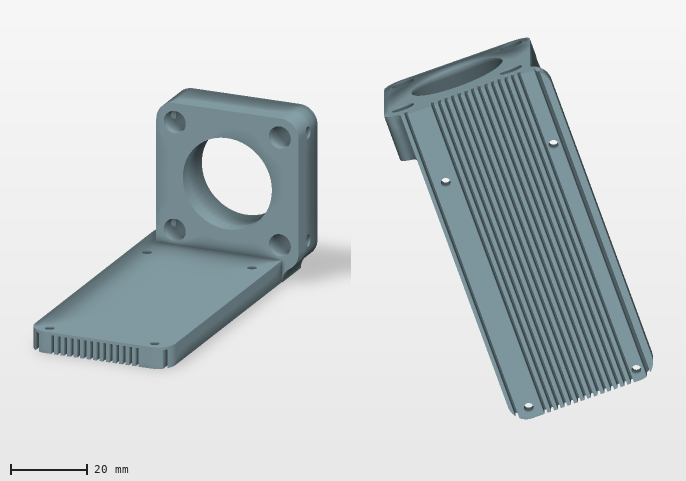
import cadquery as cq
import math

plate_length = 87.7
plate_width = 40.1
plate_bottom = 0.2
plate_thickness = 6.0
plate_top = plate_bottom + plate_thickness

corner_radius = 5.0

plate_hole_diameter = 2.5
plate_hole_pitch_x = 30.0
plate_hole_pitch_y = 64.1
plate_hole_end_distance = 3.0

slot_width = 0.85
slot_roof = 0.8
first_slot_x = 7.2
last_slot_x = 38.7
slot_step_count = 17
slot_pitch = (last_slot_x - first_slot_x) / slot_step_count
grouped_slot_count = 14
wide_slot_width = 1.2
wide_slot_x = 2.45

bracket_right = 44.8
bracket_width = 40.6
bracket_left = bracket_right - bracket_width
bracket_top = 45.6
bracket_depth = 12.5
bore_diameter = 25.4
mount_hole_diameter = 6.2
mount_hole_pitch = 30.0
cross_hole_diameter = 3.3
bore_x = (bracket_left + bracket_right) / 2
bore_z = bracket_top - bracket_width / 2


def make_plate():
    """Rounded rectangular plate."""
    return (
        cq.Workplane("XY", origin=(plate_width / 2, plate_length / 2, plate_bottom))
        .rect(plate_width, plate_length)
        .extrude(plate_thickness)
        .edges("|Z")
        .fillet(corner_radius)
    )


def make_bracket():
    """Upright block whose right side sweeps back to the plate edge in an S curve."""
    convex_x = bracket_right - corner_radius
    concave_x = plate_width + corner_radius
    convex_z = math.sqrt((2 * corner_radius) ** 2 - (concave_x - convex_x) ** 2)
    meet_x = (convex_x + concave_x) / 2
    meet_z = convex_z / 2
    return (
        cq.Workplane("XZ", origin=(0, plate_length, 0))
        .moveTo(bracket_left, plate_bottom)
        .lineTo(bracket_left, bracket_top - corner_radius)
        .tangentArcPoint((corner_radius, corner_radius))
        .lineTo(convex_x, bracket_top)
        .tangentArcPoint((corner_radius, -corner_radius))
        .lineTo(bracket_right, convex_z)
        .tangentArcPoint((meet_x, meet_z), relative=False)
        .tangentArcPoint((plate_width, 0), relative=False)
        .lineTo(plate_width, plate_bottom)
        .close()
        .extrude(bracket_depth)
    )


def make_plate_holes():
    """Four vertical screw holes."""
    center_y = plate_hole_end_distance + plate_hole_pitch_y / 2
    return (
        cq.Workplane("XY", origin=(plate_width / 2, center_y, plate_bottom))
        .rect(plate_hole_pitch_x, plate_hole_pitch_y, forConstruction=True)
        .vertices()
        .circle(plate_hole_diameter / 2)
        .extrude(plate_thickness)
    )


def make_slot(center_x, width):
    """One open-bottomed slot that leaves a thin roof under the plate's top face."""
    return (
        cq.Workplane("XY", origin=(center_x, plate_length / 2, 0))
        .rect(width, plate_length)
        .extrude(plate_top - slot_roof)
    )


def make_slots():
    """Row of even slots, interrupted at the right screw holes, plus a wide slot at the left."""
    slots = make_slot(wide_slot_x, wide_slot_width)
    for step in [*range(grouped_slot_count), slot_step_count]:
        slots = slots.union(make_slot(first_slot_x + step * slot_pitch, slot_width))
    return slots


def make_bracket_holes():
    """Central bore and four mounting holes through the bracket along Y."""
    face = cq.Workplane("XZ", origin=(bore_x, plate_length, bore_z))
    bore = face.circle(bore_diameter / 2).extrude(bracket_depth)
    mount_holes = (
        face.rect(mount_hole_pitch, mount_hole_pitch, forConstruction=True)
        .vertices()
        .circle(mount_hole_diameter / 2)
        .extrude(bracket_depth)
    )
    return bore.union(mount_holes)


def make_cross_holes():
    """Holes from both sides of the bracket, each ending in the nearest mounting hole."""
    center_y = plate_length - bracket_depth / 2
    drill_depth = (bracket_width - mount_hole_pitch) / 2
    hole_points = [(0, -mount_hole_pitch / 2), (0, mount_hole_pitch / 2)]
    left_holes = (
        cq.Workplane("YZ", origin=(bracket_left, center_y, bore_z))
        .pushPoints(hole_points)
        .circle(cross_hole_diameter / 2)
        .extrude(drill_depth)
    )
    right_holes = left_holes.mirror("YZ", (bore_x, 0, 0))
    return left_holes.union(right_holes)


result = (
    make_plate()
    .union(make_bracket())
    .cut(make_slots())
    .cut(make_plate_holes())
    .cut(make_bracket_holes())
    .cut(make_cross_holes())
)